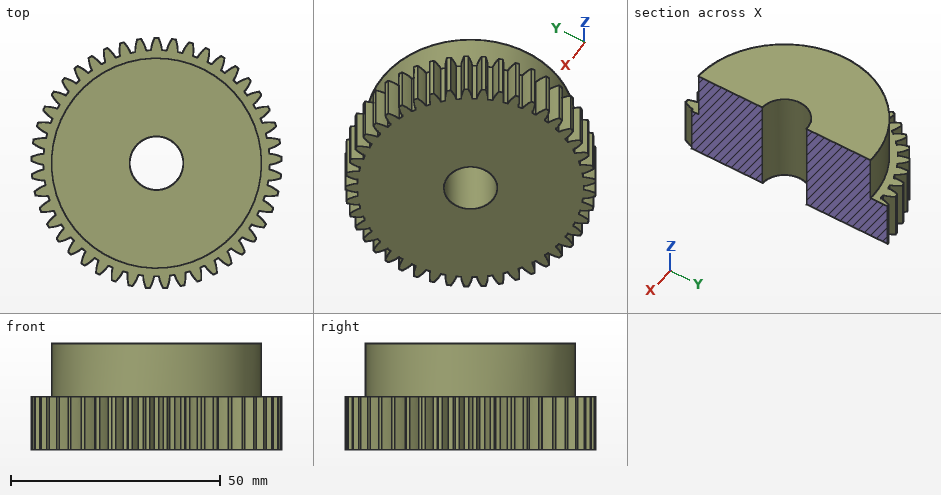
import cadquery as cq
import math

TOOTH_COUNT = 45
OUTSIDE_DIAMETER = 59.7
PRESSURE_ANGLE = math.radians(20)
DEDENDUM_FACTOR = 1.25
FACE_WIDTH = 12.7
FIRST_TOOTH_ANGLE = math.radians(90)

HUB_DIAMETER = 50.0
HUB_HEIGHT = FACE_WIDTH
BORE_DIAMETER = 12.7

module = OUTSIDE_DIAMETER / (TOOTH_COUNT + 2)
tip_radius = OUTSIDE_DIAMETER / 2
pitch_radius = module * TOOTH_COUNT / 2
root_radius = pitch_radius - DEDENDUM_FACTOR * module
base_radius = pitch_radius * math.cos(PRESSURE_ANGLE)

tooth_pitch = 2 * math.pi / TOOTH_COUNT
FLANK_STEPS = 4


def involute(angle):
    return math.tan(angle) - angle


def half_tooth_angle(radius):
    """Half the angle a tooth spans at the given radius."""
    flank_angle = math.acos(base_radius / radius)
    return tooth_pitch / 4 + involute(PRESSURE_ANGLE) - involute(flank_angle)


def polar(radius, angle):
    return (radius * math.cos(angle), radius * math.sin(angle))


def flank_points(centre_angle, side):
    """Points from root to tip on one flank; side is -1 (clockwise) or +1 (anticlockwise)."""
    step = (tip_radius - root_radius) / FLANK_STEPS
    radii = [root_radius + i * step for i in range(FLANK_STEPS + 1)]
    return [polar(r, centre_angle + side * half_tooth_angle(r)) for r in radii]


def toothed_rim():
    start = polar(root_radius, FIRST_TOOTH_ANGLE - half_tooth_angle(root_radius))
    outline = cq.Workplane("XY").moveTo(*start)
    for i in range(TOOTH_COUNT):
        centre = FIRST_TOOTH_ANGLE + i * tooth_pitch
        rising = flank_points(centre, -1)
        falling = flank_points(centre, 1)[::-1]
        next_root = flank_points(centre + tooth_pitch, -1)[0]
        gap_middle = polar(root_radius, centre + tooth_pitch / 2)

        outline = outline.spline(rising[1:], includeCurrent=True)
        outline = outline.threePointArc(polar(tip_radius, centre), falling[0])
        outline = outline.spline(falling[1:], includeCurrent=True)
        outline = outline.threePointArc(gap_middle, next_root)
    return outline.close().extrude(FACE_WIDTH)


def hub():
    return cq.Workplane("XY").workplane(offset=FACE_WIDTH).circle(HUB_DIAMETER / 2).extrude(HUB_HEIGHT)


def bore():
    return cq.Workplane("XY").circle(BORE_DIAMETER / 2).extrude(FACE_WIDTH + HUB_HEIGHT)


result = toothed_rim().union(hub()).cut(bore())